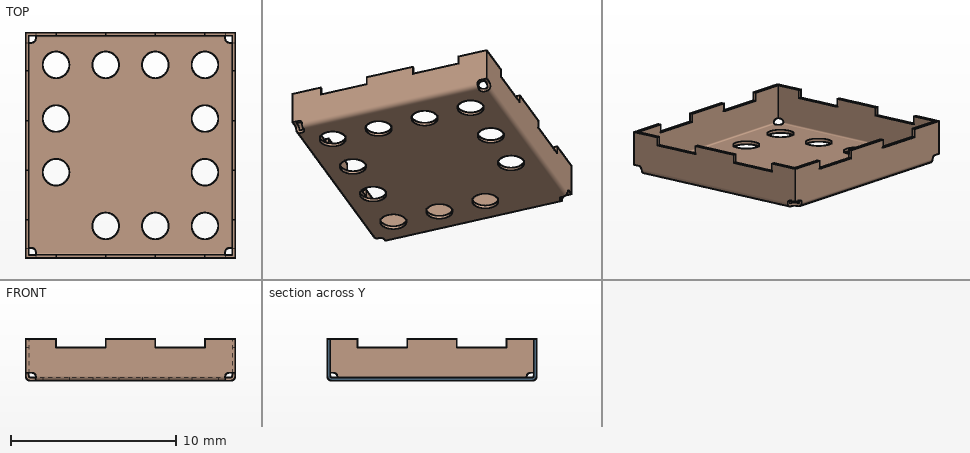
import cadquery as cq

length_x = 12.7
length_y = 13.66
height = 2.54
sheet = 0.2

inner_bend = 0.1
outer_bend = inner_bend + sheet

notch_width = 3.0
notch_depth = 0.5
notch_offset = notch_width

hole_diameter = 1.6
hole_pitch_x = notch_width
hole_pitch_y = 3.25
holes_per_side = 4

relief_reach = 0.61
relief_height = 0.48
relief_floor_radius = 0.26
relief_wall_radius = 0.22


def make_tray():
    """Floor and four walls, with concentric bends along the floor edges."""
    outer = cq.Workplane("XY").box(length_x, length_y, height, centered=(True, True, False))
    outer = outer.faces("<Z").edges().fillet(outer_bend)
    cavity = (
        cq.Workplane("XY")
        .workplane(offset=sheet)
        .box(length_x - 2 * sheet, length_y - 2 * sheet, height, centered=(True, True, False))
        .faces("<Z").edges().fillet(inner_bend)
    )
    return outer.cut(cavity)


def make_notches():
    """Bars that cross the tray and notch both opposite walls at once."""
    notch_centre_z = height - notch_depth / 2
    bars = cq.Workplane("XY")
    for offset in (-notch_offset, notch_offset):
        along_y = cq.Workplane("XY").box(notch_width, length_y, notch_depth)
        along_x = cq.Workplane("XY").box(length_x, notch_width, notch_depth)
        bars = bars.add(along_y.translate((offset, 0, notch_centre_z)))
        bars = bars.add(along_x.translate((0, offset, notch_centre_z)))
    return bars.combine()


def floor_hole_centres():
    """Border positions of the grid, leaving out the -X, -Y corner."""
    last = holes_per_side - 1
    centres = []
    for column in range(holes_per_side):
        for row in range(holes_per_side):
            on_border = column in (0, last) or row in (0, last)
            is_blank_corner = column == 0 and row == 0
            if on_border and not is_blank_corner:
                x = (column - last / 2) * hole_pitch_x
                y = (row - last / 2) * hole_pitch_y
                centres.append((x, y))
    return centres


def make_corner_relief():
    """Rounded block that opens the -X, -Y bottom corner."""
    return (
        cq.Workplane("XY")
        .box(relief_reach, relief_reach, relief_height, centered=False)
        .edges("|Z and >X and >Y").fillet(relief_floor_radius)
        .faces(">Z").edges(">X or >Y").fillet(relief_wall_radius)
        .translate((-length_x / 2, -length_y / 2, 0))
    )


tray = make_tray().cut(make_notches())

floor_holes = (
    cq.Workplane("XY")
    .pushPoints(floor_hole_centres())
    .circle(hole_diameter / 2)
    .extrude(sheet)
)
tray = tray.cut(floor_holes)

relief = make_corner_relief()
for side_relief in (relief, relief.mirror("YZ")):
    tray = tray.cut(side_relief)
    tray = tray.cut(side_relief.mirror("XZ"))

result = tray